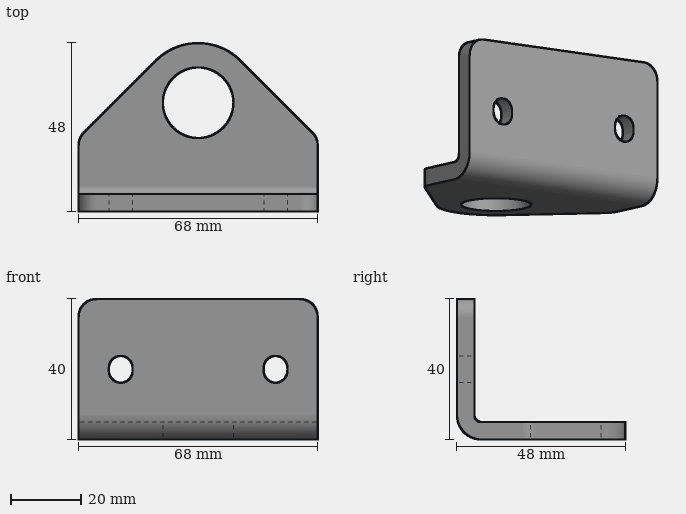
import cadquery as cq
import math

width = 68.0
depth = 47.95
height = 40.0
thickness = 5.0
inner_bend_radius = 2.0
corner_radius = 5.0

lug_radius = 17.0
lug_hole_diameter = 20.0
lug_center_y = depth - lug_radius
lug_flank_angle = math.radians(45)

slot_width = 6.65
slot_height = 7.55
slot_spacing = 44.0
slot_center_z = height / 2

half_width = width / 2
outer_bend_radius = inner_bend_radius + thickness


def bent_sheet():
    """L-shaped sheet: outer faces on Y = 0 and Z = 0, centered on X = 0."""
    sheet = (
        cq.Workplane("YZ")
        .polyline([
            (0, 0),
            (depth, 0),
            (depth, thickness),
            (thickness, thickness),
            (thickness, height),
            (0, height),
        ])
        .close()
        .extrude(half_width, both=True)
    )
    outer_edge = cq.selectors.NearestToPointSelector((0, 0, 0))
    inner_edge = cq.selectors.NearestToPointSelector((0, thickness, thickness))
    sheet = sheet.edges("|X").edges(outer_edge).fillet(outer_bend_radius)
    return sheet.edges("|X").edges(inner_edge).fillet(inner_bend_radius)


def lug_outline():
    """Vertical prism whose flanks run tangent from the round lug to the sides."""
    tangent_x = lug_radius * math.sin(lug_flank_angle)
    tangent_y = lug_center_y + lug_radius * math.cos(lug_flank_angle)
    shoulder_y = tangent_y - (half_width - tangent_x) * math.tan(lug_flank_angle)
    prism = (
        cq.Workplane("XY")
        .moveTo(-half_width, 0)
        .lineTo(half_width, 0)
        .lineTo(half_width, shoulder_y)
        .lineTo(tangent_x, tangent_y)
        .threePointArc((0, depth), (-tangent_x, tangent_y))
        .lineTo(-half_width, shoulder_y)
        .close()
        .extrude(height)
    )
    for x in (-half_width, half_width):
        shoulder = cq.selectors.NearestToPointSelector((x, shoulder_y, height / 2))
        prism = prism.edges("|Z").edges(shoulder).fillet(corner_radius)
    return prism


def lug_hole():
    return (
        cq.Workplane("XY")
        .center(0, lug_center_y)
        .circle(lug_hole_diameter / 2)
        .extrude(thickness)
    )


def mounting_slots():
    """Pair of vertical slots through the upright flange."""
    return (
        cq.Workplane("XZ")
        .center(0, slot_center_z)
        .rarray(slot_spacing, 0.7, 2, 1)
        .slot2D(slot_height, slot_width, 90)
        .extrude(-thickness)
    )


bracket = bent_sheet().intersect(lug_outline())
bracket = bracket.edges("|Y and >Z").fillet(corner_radius)
result = bracket.cut(lug_hole()).cut(mounting_slots())